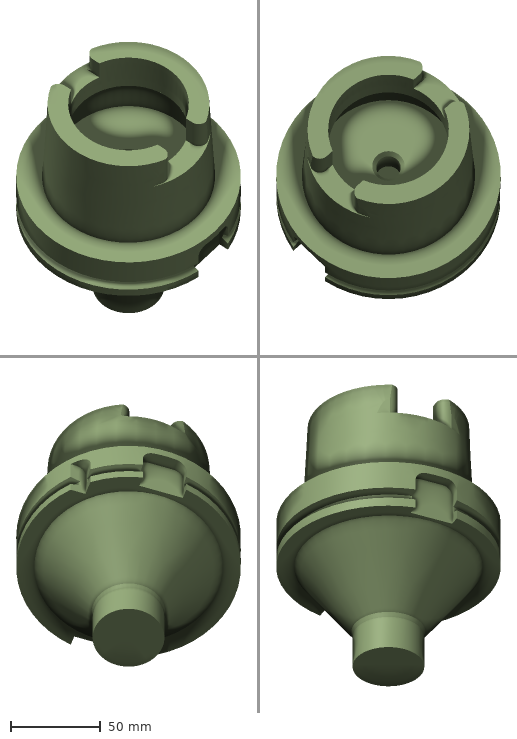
import cadquery as cq

shank_height = 62.7
shank_base_radius = 48.2
shank_top_radius = 45.0

flange_radius = 62.45
flange_bottom = -29.0
groove_floor_radius = 58.1
groove_top = -17.0
groove_bottom = -23.7
groove_top_bevel_height = 1.7
groove_bottom_bevel_height = 1.6

total_length = 157.9
nose_end = shank_height - total_length
nose_radius = 40.0 / 2
cone_top_radius = 52.5
cone_end_radius = 20.4
cone_end = -72.3
nose_start = -75.2
collar_radius = 20.7

bore_radius = 67.1 / 2
chamber_radius = 80.0 / 2
lip_depth = 24.5
bore_depth = 49.9
coolant_mouth_radius = 18.0 / 2
coolant_hole_radius = 6.8
coolant_hole_depth = 15.8
coolant_bevel = coolant_mouth_radius - coolant_hole_radius

drive_slot_width = 24.6
shallow_slot_depth = 12.2
deep_slot_depth = 19.1
relief_distance = 41.4
relief_corner_radius = 5.5
relief_bend_y = 19.0
deep_relief_end_x = 38.2
relief_end_y = 25.6
relief_floor_radius = 2.4

flange_slot_top = -5.0
flange_slot_width = 25.6
flange_slot_floor = 55.1
flange_slot_corner_radius = 6.0
notch_floor = 40.0
notch_side = 39.3

cut_margin = 7.9
cut_reach = flange_radius + cut_margin


def revolve_profile(points):
    """Solid of revolution about Z from (radius, height) points."""
    return cq.Workplane("XZ").polyline(points).close().revolve(360, (0, 0, 0), (0, 1, 0))


def make_body():
    return revolve_profile([
        (0, shank_height),
        (shank_top_radius, shank_height),
        (shank_base_radius, 0),
        (flange_radius, 0),
        (flange_radius, groove_top),
        (groove_floor_radius, groove_top - groove_top_bevel_height),
        (groove_floor_radius, groove_bottom + groove_bottom_bevel_height),
        (flange_radius, groove_bottom),
        (flange_radius, flange_bottom),
        (cone_top_radius, flange_bottom),
        (cone_end_radius, cone_end),
        (collar_radius, cone_end),
        (nose_radius, nose_start),
        (nose_radius, nose_end),
        (0, nose_end),
    ])


def make_bore():
    """Bore with a wider chamber below its lip and a coolant hole in its floor."""
    lip_z = shank_height - lip_depth
    floor_z = shank_height - bore_depth
    return revolve_profile([
        (0, shank_height),
        (bore_radius, shank_height),
        (bore_radius, lip_z),
        (chamber_radius, lip_z),
        (chamber_radius, floor_z),
        (coolant_mouth_radius, floor_z),
        (coolant_hole_radius, floor_z - coolant_bevel),
        (coolant_hole_radius, floor_z - coolant_hole_depth),
        (0, floor_z - coolant_hole_depth),
    ])


def make_plain_slot(depth):
    """Straight-walled rim slot towards +X."""
    slot = cq.Workplane("XY", origin=(cut_reach / 2, 0, shank_height - depth))
    return slot.rect(cut_reach, drive_slot_width).extrude(depth + cut_margin)


def make_flared_slot(depth, relief_end_x):
    """Rim slot whose mouth flares through rounded corners onto relief walls."""
    half_width = drive_slot_width / 2
    flare = (
        cq.Workplane("XY", origin=(0, 0, shank_height - depth))
        .moveTo(relief_distance - relief_corner_radius, half_width)
        .radiusArc((relief_distance, half_width + relief_corner_radius), -relief_corner_radius)
        .lineTo(relief_distance, relief_bend_y)
        .lineTo(relief_end_x, relief_end_y)
        .lineTo(cut_reach, relief_end_y)
        .lineTo(cut_reach, half_width)
        .close()
        .extrude(depth + cut_margin)
    )
    return make_plain_slot(depth).union(flare).union(flare.mirror("XZ")).clean()


def make_shallow_slot():
    """Shallow slot with relief walls filleted at the foot and sharp inner walls."""
    slot = make_flared_slot(shallow_slot_depth, relief_distance)
    slot = slot.faces("<Z").edges("%CIRCLE").fillet(relief_floor_radius)
    return slot.union(make_plain_slot(shallow_slot_depth))


def make_flange_slot():
    """Slot in the flange rim towards +X, open below, with rounded upper corners."""
    height = flange_slot_top - flange_bottom
    slot = cq.Workplane("XY").box(
        cut_reach - flange_slot_floor, flange_slot_width, height, centered=(False, True, False)
    )
    slot = slot.edges("|X and >Z").fillet(flange_slot_corner_radius)
    return slot.translate((flange_slot_floor, 0, flange_bottom))


def make_side_notch():
    """Notch in the rim between -X and +Y, its floor facing -X."""
    height = flange_slot_top - flange_bottom
    notch = cq.Workplane("XY").box(
        cut_reach - notch_floor, cut_reach - notch_side, height, centered=False
    )
    notch = notch.edges("|X and >Z and <Y").fillet(flange_slot_corner_radius)
    return notch.translate((-cut_reach, notch_side, flange_bottom))


def turned_to_minus_x(cutter):
    return cutter.rotate((0, 0, 0), (0, 0, 1), 180)


result = (
    make_body()
    .cut(make_bore())
    .cut(make_flared_slot(deep_slot_depth, deep_relief_end_x))
    .cut(turned_to_minus_x(make_shallow_slot()))
    .cut(make_flange_slot())
    .cut(turned_to_minus_x(make_flange_slot()))
    .cut(make_side_notch())
)